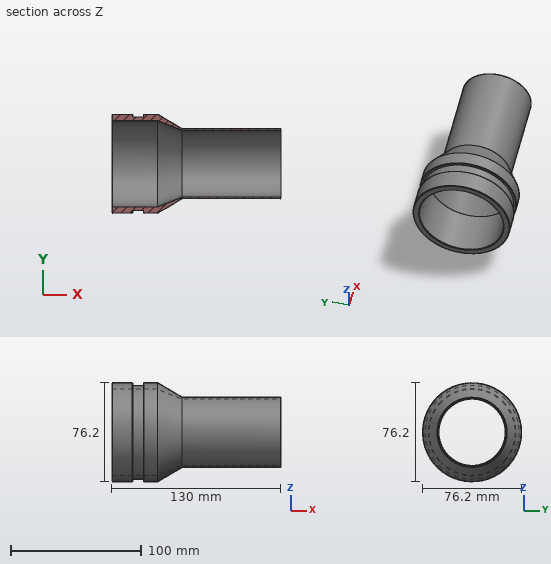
import cadquery as cq

length = 130.0
groove_start = 16.0
groove_width = 8.0
taper_start = 35.1
taper_end = 54.0
groove_end = groove_start + groove_width

socket_outer = 76.2
socket_bore = 66.2
groove_floor = 72.3
spigot_outer = 54.0
spigot_bore = 51.0

edge_break = 0.5


def frustum(start, end, start_diameter, end_diameter):
    """Solid of revolution about X with straight sides."""
    return (
        cq.Workplane("XY")
        .moveTo(start, 0)
        .lineTo(start, start_diameter / 2)
        .lineTo(end, end_diameter / 2)
        .lineTo(end, 0)
        .close()
        .revolve(360, (0, 0, 0), (1, 0, 0))
    )


def cylinder(start, end, diameter):
    return frustum(start, end, diameter, diameter)


def broken_edge_collar(start, end):
    """Socket-diameter collar with both outer edges chamfered."""
    return cylinder(start, end, socket_outer).edges().chamfer(edge_break)


front_collar = broken_edge_collar(0, groove_start)
groove_band = cylinder(groove_start, groove_end, groove_floor)
rear_collar = cylinder(groove_end, taper_start, socket_outer).faces("<X").edges().chamfer(edge_break)
taper = frustum(taper_start, taper_end, socket_outer, spigot_outer)
spigot = cylinder(taper_end, length, spigot_outer).faces(">X").edges().chamfer(edge_break)
body = front_collar.union(groove_band).union(rear_collar).union(taper).union(spigot)

mouth_chamfer = frustum(0, edge_break, socket_bore + 2 * edge_break, socket_bore)
passage = (
    cylinder(0, taper_start, socket_bore)
    .union(frustum(taper_start, taper_end, socket_bore, spigot_bore))
    .union(cylinder(taper_end, length, spigot_bore))
    .union(mouth_chamfer)
)

result = body.cut(passage)